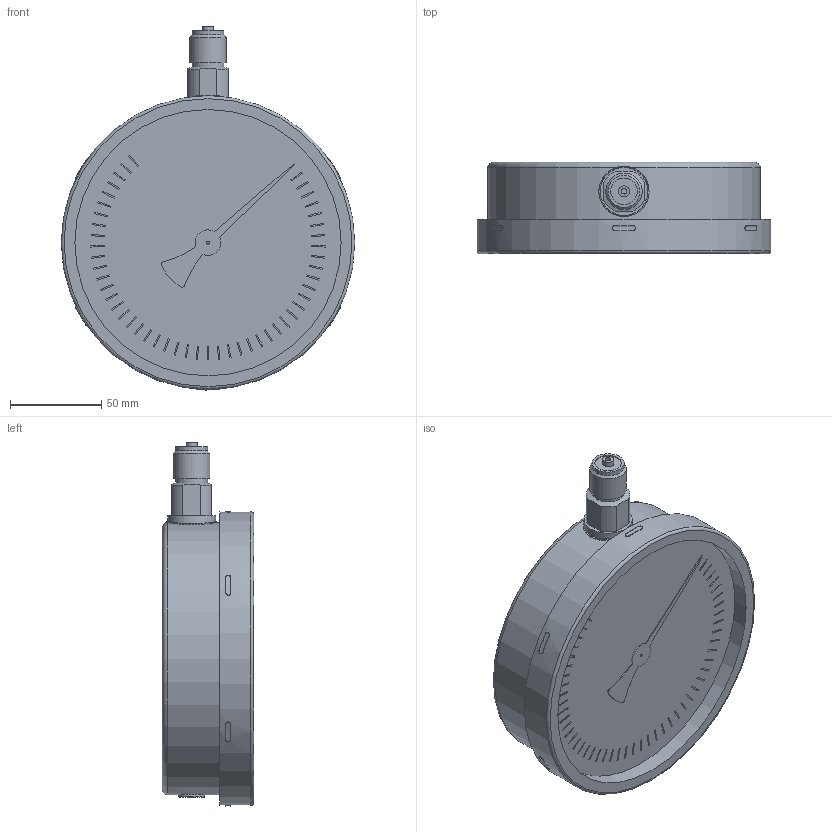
import cadquery as cq
import math


gauge_depth = 50.09
housing_radius = 74.65
housing_back_fillet = 3.0

bezel_radius = 80.45
bezel_depth = 18.7
bezel_front_fillet = 1.5
window_radius = 73.0

bump_count = 6
bump_length = 12.5
bump_width = 2.8
bump_height = 0.35
bump_y = 13.9

dial_front_y = 8.7
dial_thickness = 1.0
scale_steps = 49
scale_sweep = 270.0
mark_pitch = scale_sweep / scale_steps
pointer_angle = 42.25
mark_inner_radius = 57.0
mark_outer_radius = 64.2
mark_width = 0.7
mark_height = 0.1

pointer_thickness = 0.5
hub_radius = 7.0
hub_hole_diameter = 1.57
arm_root_half_width = 2.1
arm_end_half_width = 0.65
arm_end_radius = 58.4
tip_radius = 64.0
tail_root_half_width = 2.0
tail_waist_radius = 17.1
tail_waist_half_width = 5.3
tail_end_half_angle = 19.5
tail_radius = 28.5
tail_corner_fillet = 1.5

axis_y = 34.0
stem_top_z = 118.79
tip_diameter = 6.0
tip_height = 2.5
bore_diameter = 3.0
neck_diameter = 17.5
neck_height = 2.4
face_recess_diameter = 14.5
face_recess_depth = 0.5
thread_diameter = 20.0
thread_length = 15.2
undercut_diameter = 17.5
undercut_length = 2.4
wrench_round_diameter = 24.0
wrench_flat_width = 22.0
wrench_chamfer_height = 1.1
collar_diameter = 26.3
collar_top_z = 78.4
collar_foot_diameter = 27.5
collar_foot_thickness = 0.5

neck_top_z = stem_top_z - tip_height
thread_top_z = neck_top_z - neck_height
thread_bottom_z = thread_top_z - thread_length
wrench_top_z = thread_bottom_z - undercut_length
thread_chamfer = (thread_diameter - neck_diameter) / 2
wrench_chamfer_width = (wrench_round_diameter - undercut_diameter) / 2

plug_diameter = 14.5
plug_bottom_z = -76.0
plug_insert_depth = 4.0
plug_edge_chamfer = 0.4

housing_front_y = dial_front_y + dial_thickness


def disc(radius, front_y, back_y):
    """Cylinder about the dial axis between two Y positions."""
    plane = cq.Workplane("XZ", origin=(0, front_y, 0))
    return plane.circle(radius).extrude(front_y - back_y)


def post(diameter, bottom_z, top_z):
    """Upright cylinder on the connection axis."""
    plane = cq.Workplane("XY", origin=(0, axis_y, bottom_z))
    return plane.circle(diameter / 2).extrude(top_z - bottom_z)


def make_plug():
    top_z = plug_insert_depth - housing_radius
    plug = post(plug_diameter, plug_bottom_z, top_z)
    return plug.faces("<Z").chamfer(plug_edge_chamfer)


def make_housing():
    housing = disc(housing_radius, housing_front_y, gauge_depth)
    housing = housing.faces(">Y").edges().fillet(housing_back_fillet)
    return housing.cut(make_plug())


def make_bump(angle):
    """Stadium-shaped bump on the bezel rim, at an angle about the dial axis."""
    plane = cq.Workplane("XY", origin=(0, bump_y, 0))
    slot = plane.slot2D(bump_length, bump_width).extrude(bezel_radius + bump_height)
    bump = slot.intersect(disc(bezel_radius + bump_height, 0, bezel_depth))
    return bump.rotate((0, 0, 0), (0, 1, 0), angle)


def make_bezel():
    bezel = disc(bezel_radius, 0, bezel_depth)
    bezel = bezel.faces("<Y").edges().fillet(bezel_front_fillet)
    for index in range(bump_count):
        bezel = bezel.union(make_bump(index * 360 / bump_count))
    bezel = bezel.cut(disc(window_radius, 0, bezel_depth))
    return bezel.cut(disc(housing_radius, dial_front_y, bezel_depth))


def make_dial():
    dial = disc(housing_radius, dial_front_y, housing_front_y)
    mark_length = mark_outer_radius - mark_inner_radius
    mark_middle = (mark_outer_radius + mark_inner_radius) / 2
    plane = cq.Workplane("XZ", origin=(0, dial_front_y, 0))
    for index in range(1, scale_steps + 1):
        angle = pointer_angle - index * mark_pitch
        mark = plane.center(mark_middle, 0).rect(mark_length, mark_width).extrude(mark_height)
        dial = dial.union(mark.rotate((0, 0, 0), (0, 1, 0), -angle))
    return dial


def make_pointer():
    """Flat pointer drawn along +X, then turned to its reading."""
    plane = cq.Workplane("XZ", origin=(0, dial_front_y, 0))
    hub = plane.circle(hub_radius).extrude(pointer_thickness)
    arm = (
        plane.moveTo(0, arm_root_half_width)
        .lineTo(arm_end_radius, arm_end_half_width)
        .lineTo(tip_radius, 0)
        .lineTo(arm_end_radius, -arm_end_half_width)
        .lineTo(0, -arm_root_half_width)
        .close()
        .extrude(pointer_thickness)
    )
    corner_x = -tail_radius * math.cos(math.radians(tail_end_half_angle))
    corner_z = tail_radius * math.sin(math.radians(tail_end_half_angle))
    tail = (
        plane.moveTo(0, tail_root_half_width)
        .threePointArc((-tail_waist_radius, tail_waist_half_width), (corner_x, corner_z))
        .threePointArc((-tail_radius, 0), (corner_x, -corner_z))
        .threePointArc((-tail_waist_radius, -tail_waist_half_width), (0, -tail_root_half_width))
        .close()
        .extrude(pointer_thickness)
    )
    tail = tail.edges("|Y").edges("<X").fillet(tail_corner_fillet)
    hole = plane.circle(hub_hole_diameter / 2).extrude(pointer_thickness)
    pointer = hub.union(arm).union(tail).cut(hole)
    return pointer.rotate((0, 0, 0), (0, 1, 0), -pointer_angle)


def make_wrench_section():
    """Round bar with four flats and a turned chamfer at the top."""
    bar = post(wrench_round_diameter, collar_top_z, wrench_top_z)
    bar = bar.faces(">Z").chamfer(wrench_chamfer_height, wrench_chamfer_width)
    flats = cq.Workplane("XY", origin=(0, axis_y, collar_top_z))
    flats = flats.rect(wrench_flat_width, wrench_flat_width).extrude(wrench_top_z - collar_top_z)
    return bar.intersect(flats)


def make_stem():
    thread = post(thread_diameter, thread_bottom_z, thread_top_z)
    thread = thread.faces(">Z").chamfer(thread_chamfer)
    stem = make_wrench_section()
    stem = stem.union(post(undercut_diameter, wrench_top_z, thread_bottom_z))
    stem = stem.union(thread)
    stem = stem.union(post(neck_diameter, thread_top_z, neck_top_z))
    stem = stem.cut(post(face_recess_diameter, neck_top_z - face_recess_depth, neck_top_z))
    stem = stem.union(post(tip_diameter, neck_top_z - face_recess_depth, stem_top_z))
    return stem.cut(post(bore_diameter, collar_top_z, stem_top_z))


def make_collar():
    """Round seat under the stem, with a thin foot that follows the curved case wall."""
    collar = post(collar_diameter, 0, collar_top_z)
    foot = post(collar_foot_diameter, 0, collar_top_z)
    foot = foot.intersect(disc(housing_radius + collar_foot_thickness, 0, gauge_depth))
    return collar.union(foot).cut(make_housing())


bodies = [
    make_housing(),
    make_bezel(),
    make_dial(),
    make_pointer(),
    make_stem(),
    make_collar(),
    make_plug(),
]
result = cq.Compound.makeCompound([body.val() for body in bodies])